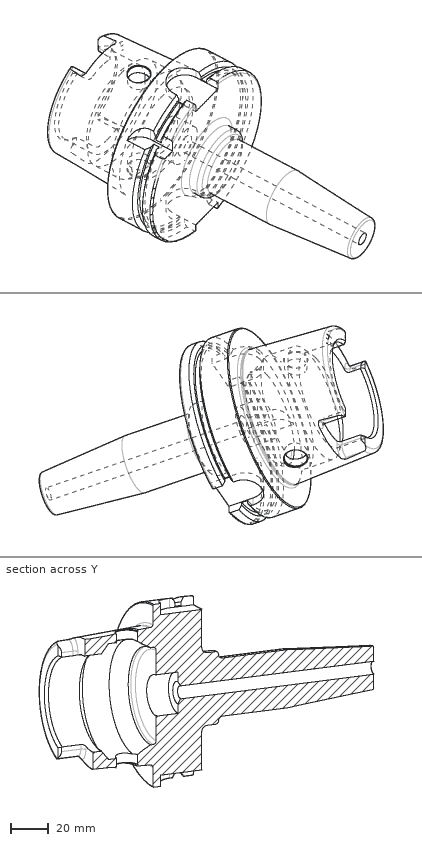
import cadquery as cq
import math


overall_length = 180.0
taper_length = 50.0
flange_width = 29.0
flange_end = taper_length + flange_width
collar_end = 89.0
nose_start = 129.0

taper_root_radius = 75.5 / 2
taper_root_start = 48.0
taper_root_bevel = 0.5
taper_root_fillet = 1.3
cone_end = taper_root_start - taper_root_bevel
cone_large_radius = 37.6
cone_slope = 0.05
cone_small_radius = cone_large_radius - cone_slope * cone_end
mouth_fillet = 2.0
flange_radius = 100.0 / 2
flange_front_chamfer = 0.5
flange_rear_fillet = 1.0
collar_radius = 40.0 / 2
collar_root_fillet = 3.0
collar_edge_fillet = 2.0
neck_radius = 32.0 / 2
tip_radius = 24.0 / 2
tip_fillet = 1.0

gripper_center = taper_length + 19.8
gripper_root_radius = 45.5
gripper_root_half_width = 1.71
gripper_mouth_half_width = 3.2
gripper_flank_angle = 60.0

bore_radius = 53.0 / 2
bore_mouth_radius = 27.5
bore_mouth_angle = 30.0
bore_depth = 20.0
undercut_radius = 63.0 / 2
clamp_angle = 50.0
undercut_end = 40.0
return_angle = 30.0
floor_x = 52.0
floor_fillet = 1.8
tube_bore_radius = 22.3 / 2
tube_bore_end = 64.8
drill_point_radius = 12.0 / 2
coolant_radius = 6.8 / 2
drill_point_half_angle = 59.0

drive_half_width = 9.99
drive_depth_top = 10.0
drive_depth_bottom = 14.8
drive_floor_fillet = 2.0
drive_flare_radius = 5.0
drive_flare_height = 32.0
drive_lead_in = 1.5

cross_hole_x = 35.0
cross_hole_radius = 12.0 / 2
cross_hole_chamfer = 0.4

keyway_radius = 20.0 / 2
keyway_center_x = 64.8
keyway_floor = 44.0
notch_floor = 31.7
notch_wall = 31.0


def revolve_about_x(profile):
    return profile.close().revolve(360, (0, 0, 0), (1, 0, 0))


def quarter(center_x, center_r, radius, side_x, side_r):
    """Middle point of a quarter arc lying on the given sides of its centre."""
    reach = radius * math.sqrt(0.5)
    return (center_x + side_x * reach, center_r + side_r * reach)


def cone_length(radius_change, angle_from_axis):
    return radius_change / math.tan(math.radians(angle_from_axis))


def turned_over(tool):
    return tool.rotate((0, 0, 0), (1, 0, 0), 180)


def holder_body():
    taper_edge = cone_small_radius + cone_slope * mouth_fillet
    face_step = collar_radius - collar_edge_fillet
    step_fillet = face_step - neck_radius
    tip_edge = tip_radius + tip_fillet * (neck_radius - tip_radius) / (overall_length - nose_start)

    profile = (
        cq.Workplane("XY")
        .moveTo(0, 0)
        .lineTo(0, taper_edge - mouth_fillet)
        .threePointArc(
            quarter(mouth_fillet, taper_edge - mouth_fillet, mouth_fillet, -1, 1),
            (mouth_fillet, taper_edge),
        )
        .lineTo(cone_end, cone_large_radius)
        .lineTo(taper_root_start, taper_root_radius)
        .lineTo(taper_length - taper_root_fillet, taper_root_radius)
        .threePointArc(
            quarter(taper_length - taper_root_fillet, taper_root_radius + taper_root_fillet,
                    taper_root_fillet, 1, -1),
            (taper_length, taper_root_radius + taper_root_fillet),
        )
        .lineTo(taper_length, flange_radius - flange_front_chamfer)
        .lineTo(taper_length + flange_front_chamfer, flange_radius)
        .lineTo(flange_end - flange_rear_fillet, flange_radius)
        .threePointArc(
            quarter(flange_end - flange_rear_fillet, flange_radius - flange_rear_fillet,
                    flange_rear_fillet, 1, 1),
            (flange_end, flange_radius - flange_rear_fillet),
        )
        .lineTo(flange_end, collar_radius + collar_root_fillet)
        .threePointArc(
            quarter(flange_end + collar_root_fillet, collar_radius + collar_root_fillet,
                    collar_root_fillet, -1, -1),
            (flange_end + collar_root_fillet, collar_radius),
        )
        .lineTo(collar_end - collar_edge_fillet, collar_radius)
        .threePointArc(
            quarter(collar_end - collar_edge_fillet, face_step, collar_edge_fillet, 1, 1),
            (collar_end, face_step),
        )
        .threePointArc(
            quarter(collar_end + step_fillet, face_step, step_fillet, -1, -1),
            (collar_end + step_fillet, neck_radius),
        )
        .lineTo(nose_start, neck_radius)
        .lineTo(overall_length - tip_fillet, tip_edge)
        .threePointArc(
            quarter(overall_length - tip_fillet, tip_edge - tip_fillet, tip_fillet, 1, 1),
            (overall_length, tip_edge - tip_fillet),
        )
        .lineTo(overall_length, 0)
    )
    return revolve_about_x(profile)


def gripper_groove():
    flank_width = gripper_mouth_half_width - gripper_root_half_width
    flank_start = flange_radius - flank_width * math.tan(math.radians(gripper_flank_angle))
    profile = (
        cq.Workplane("XY")
        .moveTo(gripper_center - gripper_mouth_half_width, flange_radius)
        .lineTo(gripper_center - gripper_root_half_width, flank_start)
        .lineTo(gripper_center - gripper_root_half_width, gripper_root_radius)
        .lineTo(gripper_center + gripper_root_half_width, gripper_root_radius)
        .lineTo(gripper_center + gripper_root_half_width, flank_start)
        .lineTo(gripper_center + gripper_mouth_half_width, flange_radius)
    )
    return revolve_about_x(profile)


def inner_cavity():
    mouth_length = cone_length(bore_mouth_radius - bore_radius, bore_mouth_angle)
    clamp_length = cone_length(undercut_radius - bore_radius, clamp_angle)
    return_length = cone_length(undercut_radius - bore_radius, return_angle)
    drill_point_length = cone_length(drill_point_radius - coolant_radius, drill_point_half_angle)
    profile = (
        cq.Workplane("XY")
        .moveTo(0, 0)
        .lineTo(0, bore_mouth_radius)
        .lineTo(mouth_length, bore_radius)
        .lineTo(bore_depth, bore_radius)
        .lineTo(bore_depth + clamp_length, undercut_radius)
        .lineTo(undercut_end, undercut_radius)
        .lineTo(undercut_end + return_length, bore_radius)
        .lineTo(floor_x - floor_fillet, bore_radius)
        .threePointArc(
            quarter(floor_x - floor_fillet, bore_radius - floor_fillet, floor_fillet, 1, 1),
            (floor_x, bore_radius - floor_fillet),
        )
        .lineTo(floor_x, tube_bore_radius)
        .lineTo(tube_bore_end, tube_bore_radius)
        .lineTo(tube_bore_end, drill_point_radius)
        .lineTo(tube_bore_end + drill_point_length, coolant_radius)
        .lineTo(overall_length, coolant_radius)
        .lineTo(overall_length, 0)
    )
    return revolve_about_x(profile)


def drive_slot(depth):
    """Slot on the +Z side: straight walls that flare outward, rounded into the floor."""
    flare_start = drive_flare_height - drive_flare_radius
    flare_end = drive_half_width + drive_flare_radius
    flare_mid_y, flare_mid_z = quarter(flare_end, flare_start, drive_flare_radius, -1, 1)
    slot = (
        cq.Workplane("YZ")
        .moveTo(-drive_half_width, 0)
        .lineTo(drive_half_width, 0)
        .lineTo(drive_half_width, flare_start)
        .threePointArc((flare_mid_y, flare_mid_z), (flare_end, drive_flare_height))
        .lineTo(flange_radius, drive_flare_height)
        .lineTo(flange_radius, flange_radius)
        .lineTo(-flange_radius, flange_radius)
        .lineTo(-flange_radius, drive_flare_height)
        .lineTo(-flare_end, drive_flare_height)
        .threePointArc((-flare_mid_y, flare_mid_z), (-drive_half_width, flare_start))
        .close()
        .extrude(depth)
        .faces(">X").edges().fillet(drive_floor_fillet)
    )
    lead_in = (
        cq.Workplane("XY")
        .moveTo(0, -drive_half_width - drive_lead_in)
        .lineTo(drive_lead_in, -drive_half_width)
        .lineTo(drive_lead_in, drive_half_width)
        .lineTo(0, drive_half_width + drive_lead_in)
        .close()
        .extrude(taper_root_radius)
    )
    return slot.union(lead_in)


def cross_hole():
    """Hole along Z through both walls, with a small countersink at each outer rim."""
    rim_radius = cross_hole_radius + cross_hole_chamfer
    cone_radius = cone_small_radius + cone_slope * cross_hole_x
    rim_z = math.sqrt(cone_radius ** 2 - rim_radius ** 2)
    hole = (
        cq.Workplane("XY")
        .center(cross_hole_x, 0)
        .circle(cross_hole_radius)
        .extrude(rim_z, both=True)
    )
    countersink = (
        cq.Workplane("XY")
        .workplane(offset=rim_z)
        .center(cross_hole_x, 0)
        .circle(rim_radius)
        .extrude(flange_radius - rim_z)
        .faces("<Z")
        .workplane()
        .circle(rim_radius)
        .workplane(offset=cross_hole_chamfer)
        .circle(cross_hole_radius)
        .loft(combine=True)
    )
    return hole.union(countersink).union(turned_over(countersink))


def round_ended_slot(center_y, floor_z):
    """Slot open toward +X and +Z, with a half-round end on the taper side."""
    return (
        cq.Workplane("XY")
        .workplane(offset=floor_z)
        .moveTo(flange_end, center_y - keyway_radius)
        .lineTo(keyway_center_x, center_y - keyway_radius)
        .threePointArc(
            (keyway_center_x - keyway_radius, center_y),
            (keyway_center_x, center_y + keyway_radius),
        )
        .lineTo(flange_end, center_y + keyway_radius)
        .close()
        .extrude(flange_radius - floor_z)
    )


keyway = round_ended_slot(0, keyway_floor)
index_notch = round_ended_slot(-notch_wall - keyway_radius, notch_floor)

result = (
    holder_body()
    .cut(gripper_groove())
    .cut(inner_cavity())
    .cut(drive_slot(drive_depth_top))
    .cut(turned_over(drive_slot(drive_depth_bottom)))
    .cut(cross_hole())
    .cut(keyway)
    .cut(turned_over(keyway))
    .cut(index_notch)
)